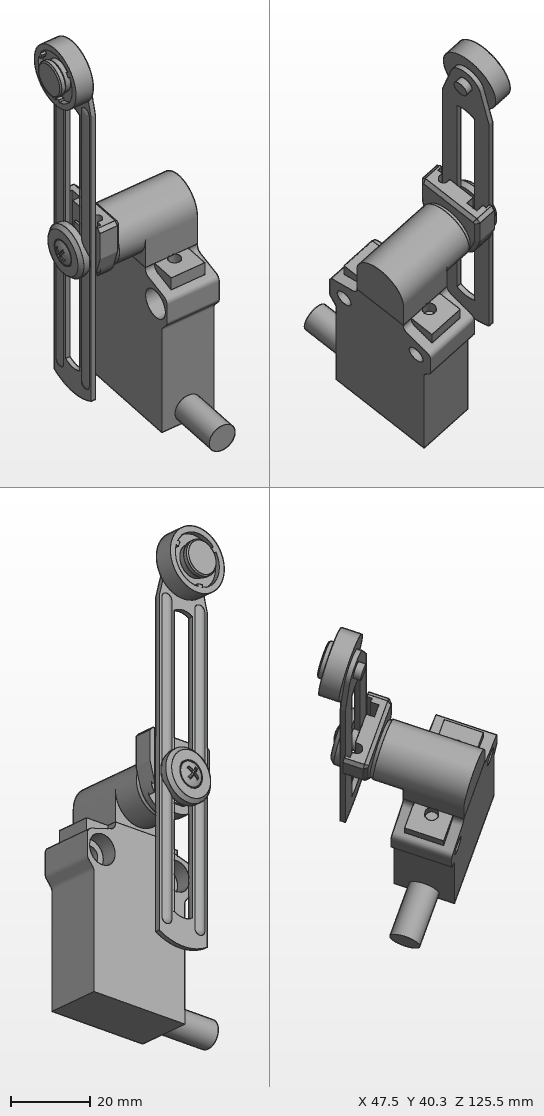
import cadquery as cq
import math


HOUSING_WIDTH = 30.4
HOUSING_DEPTH = 16.2
HOUSING_HEIGHT = 49.1
EAR_SPAN = 34.9
EAR_BOTTOM_INNER_Z = 33.9
EAR_BOTTOM_OUTER_Z = 36.6
EAR_TOP_OUTER_Z = 44.5
EAR_TOP_INNER_Z = 47.2
EAR_BLEND_RADIUS = 1.9
PAD_DEPTH = 10.4
PAD_HOLE_DIAMETER = 3.5
PAD_HOLE_X = 9.4
PAD_HOLE_DEPTH = 3.8
MOUNT_HOLE_X = 12.4
MOUNT_HOLE_Z = 40.2
MOUNT_HOLE_DIAMETER = 4.8
COUNTERBORE_DIAMETER = 8.5
COUNTERBORE_DEPTH = 4.5

CABLE_DIAMETER = 8.0
CABLE_AXIS_Z = 4.3
CABLE_END_X = 30.0

HEAD_RADIUS = 8.0
PIVOT_Z = 58.0
HEAD_FRONT = 25.2
HEAD_CHAMFER_LENGTH = 1.0
HEAD_CHAMFER_DROP = 0.5

BASE_WIDTH = 19.8
BASE_TOP_Z = 69.8
BASE_SIDE_BOTTOM_Z = 60.2
BASE_BOTTOM_RADIUS = 8.9
BASE_ARC_START_Z = 55.7
BASE_CHAMFER = 1.0
ARM_BACK = 31.6
BASE_FLOOR = 30.2
BASE_RECESS_WIDTH = 16.6
BASE_GROOVE_BOTTOM = 28.0
SQUARE_GROOVE_WIDTH = 3.4
ROUND_GROOVE_WIDTH = 2.6
RIB_WIDTH = 4.8
RIB_HALF_LENGTH = 6.4
RIB_HEIGHT = 0.6

ARM_WIDTH = 16.1
ARM_THICKNESS = 1.4
ARM_BOTTOM_Z = 11.3
ARM_BOTTOM_CORNER_Z = 13.4
ARM_SHOULDER_Z = 106.0
ARM_TIP_RADIUS = 5.1
SLOT_WIDTH = 6.0
SLOT_BOTTOM_Z = 19.2
SLOT_TOP_Z = 104.3
SLOT_END_RISE = 0.9
RAIL_X = 5.5
RAIL_WIDTH = 3.4
RAIL_HEIGHT = 0.6
RAIL_BOTTOM_Z = 17.7
RAIL_TOP_Z = 105.7

WASHER_RADIUS = 7.5
WASHER_FRONT = 36.0
WASHER_CHAMFER_LENGTH = 1.1
WASHER_CHAMFER_DROP = 1.0
SCREW_SHANK_DIAMETER = 5.3
SCREW_TIP = 27.6
SCREW_HEAD_RADIUS = 3.5
SCREW_DOME_HEIGHT = 1.1
SCREW_RECESS_RADIUS = 3.8
SCREW_RECESS_DEPTH = 0.6
CROSS_LENGTH = 4.0
CROSS_WIDTH = 0.8
CROSS_DEPTH = 1.0
CROSS_ANGLE = 55

ROLLER_DIAMETER = 18.1
ROLLER_WIDTH = 5.4
ROLLER_RECESS_DIAMETER = 14.7
ROLLER_RECESS_DEPTH = 1.5
NUB_COUNT = 3
NUB_ANGLE = 38
NUB_WIDTH = 1.5
NUB_HEIGHT = 0.8
PIN_DIAMETER = 4.4
PIN_BACK = 29.6
PIN_CAP_DIAMETER = 9.9
PIN_FRONT = 40.3
PIN_CAP_CHAMFER = 0.4
PIN_HUB_DIAMETER = PIN_CAP_DIAMETER - 2 * PIN_CAP_CHAMFER

OVERALL_HEIGHT = 125.5
ROLLER_Z = OVERALL_HEIGHT - ROLLER_DIAMETER / 2
ARM_FRONT = ARM_BACK + ARM_THICKNESS
ROLLER_FRONT = ARM_FRONT + ROLLER_WIDTH
SCREW_SEAT = WASHER_FRONT - SCREW_RECESS_DEPTH
MID_DEPTH = HOUSING_DEPTH / 2


def plane_at(depth):
    """XZ sketch plane at a depth; extrusions from it run forward, toward -Y."""
    return cq.Workplane("XZ").workplane(offset=depth)


def disc(x, z, diameter, back, front):
    """Cylinder along Y between two depths."""
    return plane_at(back).center(x, z).circle(diameter / 2).extrude(front - back)


def slab(x_centre, width, z_bottom, z_top, back, front):
    """Rectangular block between two heights and two depths."""
    sketch = plane_at(back).center(x_centre, (z_bottom + z_top) / 2)
    return sketch.rect(width, z_top - z_bottom).extrude(front - back)


def make_housing():
    half_outline = [
        (0, 0),
        (HOUSING_WIDTH / 2, 0),
        (HOUSING_WIDTH / 2, EAR_BOTTOM_INNER_Z),
        (EAR_SPAN / 2, EAR_BOTTOM_OUTER_Z),
        (EAR_SPAN / 2, EAR_TOP_OUTER_Z),
        (HEAD_RADIUS, EAR_TOP_INNER_Z),
        (HEAD_RADIUS, HOUSING_HEIGHT),
        (0, HOUSING_HEIGHT),
    ]
    half = plane_at(0).polyline(half_outline).close().extrude(HOUSING_DEPTH)
    ear_corners = half.edges("|Y").filter(lambda edge: 0 < edge.Center().z < HOUSING_HEIGHT)
    half = ear_corners.fillet(EAR_BLEND_RADIUS)
    body = half.union(half.mirror("YZ"))

    pad_back = MID_DEPTH - PAD_DEPTH / 2
    pads = slab(0, HOUSING_WIDTH, EAR_BOTTOM_OUTER_Z, HOUSING_HEIGHT, pad_back, pad_back + PAD_DEPTH)
    body = body.union(pads)

    for side in (-1, 1):
        x = side * MOUNT_HOLE_X
        through_hole = disc(x, MOUNT_HOLE_Z, MOUNT_HOLE_DIAMETER, 0, HOUSING_DEPTH)
        counterbore = disc(
            x, MOUNT_HOLE_Z, COUNTERBORE_DIAMETER, HOUSING_DEPTH - COUNTERBORE_DEPTH, HOUSING_DEPTH
        )
        pad_hole = (
            cq.Workplane("XY", origin=(side * PAD_HOLE_X, -MID_DEPTH, HOUSING_HEIGHT))
            .circle(PAD_HOLE_DIAMETER / 2)
            .extrude(-PAD_HOLE_DEPTH)
        )
        body = body.cut(through_hole).cut(counterbore).cut(pad_hole)
    return body


def make_cable():
    start_x = HOUSING_WIDTH / 2
    sketch = cq.Workplane("YZ", origin=(start_x, -MID_DEPTH, CABLE_AXIS_Z))
    return sketch.circle(CABLE_DIAMETER / 2).extrude(CABLE_END_X - start_x)


def make_head():
    barrel = disc(0, PIVOT_Z, 2 * HEAD_RADIUS, 0, HEAD_FRONT)
    barrel = barrel.faces("<Y").chamfer(HEAD_CHAMFER_LENGTH, HEAD_CHAMFER_DROP)
    neck = slab(0, 2 * HEAD_RADIUS, HOUSING_HEIGHT, PIVOT_Z, 0, HOUSING_DEPTH)
    return barrel.union(neck)


def make_lever_base():
    half_width = BASE_WIDTH / 2
    arc_start_x = math.sqrt(BASE_BOTTOM_RADIUS**2 - (PIVOT_Z - BASE_ARC_START_Z) ** 2)
    body = (
        plane_at(HEAD_FRONT)
        .moveTo(-arc_start_x, BASE_ARC_START_Z)
        .threePointArc((0, PIVOT_Z - BASE_BOTTOM_RADIUS), (arc_start_x, BASE_ARC_START_Z))
        .lineTo(half_width, BASE_SIDE_BOTTOM_Z)
        .lineTo(half_width, BASE_TOP_Z - BASE_CHAMFER)
        .lineTo(half_width - BASE_CHAMFER, BASE_TOP_Z)
        .lineTo(BASE_CHAMFER - half_width, BASE_TOP_Z)
        .lineTo(-half_width, BASE_TOP_Z - BASE_CHAMFER)
        .lineTo(-half_width, BASE_SIDE_BOTTOM_Z)
        .close()
        .extrude(ARM_BACK - HEAD_FRONT)
        .faces(">Y")
        .chamfer(BASE_CHAMFER)
    )

    bottom_z = PIVOT_Z - BASE_BOTTOM_RADIUS
    recess = slab(0, BASE_RECESS_WIDTH, bottom_z, BASE_TOP_Z, BASE_FLOOR, ARM_BACK)
    square_groove = slab(
        -RAIL_X, SQUARE_GROOVE_WIDTH, bottom_z, BASE_TOP_Z, BASE_GROOVE_BOTTOM, BASE_FLOOR
    )
    groove_radius = ROUND_GROOVE_WIDTH / 2
    groove_axis = BASE_GROOVE_BOTTOM + groove_radius
    round_groove = slab(RAIL_X, ROUND_GROOVE_WIDTH, bottom_z, BASE_TOP_Z, groove_axis, BASE_FLOOR)
    groove_end = (
        cq.Workplane("XY", origin=(RAIL_X, -groove_axis, bottom_z))
        .circle(groove_radius)
        .extrude(BASE_TOP_Z - bottom_z)
    )
    body = body.cut(recess).cut(square_groove).cut(round_groove).cut(groove_end)

    rib_bottom_z = PIVOT_Z - RIB_HALF_LENGTH
    rib_top_z = PIVOT_Z + RIB_HALF_LENGTH
    rib = slab(0, RIB_WIDTH, rib_bottom_z, rib_top_z, BASE_FLOOR, BASE_FLOOR + RIB_HEIGHT)
    screw_hole = disc(0, PIVOT_Z, SCREW_SHANK_DIAMETER, SCREW_TIP, ARM_BACK)
    return body.union(rib).cut(screw_hole)


def make_rail(x):
    """Raised bead of circular-segment section with domed ends."""
    half_width = RAIL_WIDTH / 2
    length = RAIL_TOP_Z - RAIL_BOTTOM_Z
    rail = (
        cq.Workplane("XY", origin=(x, -ARM_FRONT, RAIL_BOTTOM_Z))
        .moveTo(-half_width, 0)
        .threePointArc((0, -RAIL_HEIGHT), (half_width, 0))
        .close()
        .extrude(length)
    )
    bead_radius = (half_width**2 + RAIL_HEIGHT**2) / (2 * RAIL_HEIGHT)
    arc_mid_x = half_width / 2
    arc_mid_y = bead_radius - RAIL_HEIGHT - math.sqrt(bead_radius**2 - arc_mid_x**2)
    for end_z in (RAIL_BOTTOM_Z, RAIL_TOP_Z):
        dome = (
            cq.Workplane("XY", origin=(x, -ARM_FRONT, end_z))
            .lineTo(half_width, 0)
            .threePointArc((arc_mid_x, arc_mid_y), (0, -RAIL_HEIGHT))
            .close()
            .revolve(360, (0, 0), (0, 1))
        )
        rail = rail.union(dome)
    return rail


def make_arm():
    half_width = ARM_WIDTH / 2
    shoulder_drop = ROLLER_Z - ARM_SHOULDER_Z
    shoulder_angle = math.atan2(-shoulder_drop, half_width)
    tangent_angle = shoulder_angle + math.acos(ARM_TIP_RADIUS / math.hypot(half_width, shoulder_drop))
    tip_x = ARM_TIP_RADIUS * math.cos(tangent_angle)
    tip_z = ROLLER_Z + ARM_TIP_RADIUS * math.sin(tangent_angle)
    plate = (
        plane_at(ARM_BACK)
        .moveTo(-half_width, ARM_BOTTOM_CORNER_Z)
        .threePointArc((0, ARM_BOTTOM_Z), (half_width, ARM_BOTTOM_CORNER_Z))
        .lineTo(half_width, ARM_SHOULDER_Z)
        .lineTo(tip_x, tip_z)
        .threePointArc((0, ROLLER_Z + ARM_TIP_RADIUS), (-tip_x, tip_z))
        .lineTo(-half_width, ARM_SHOULDER_Z)
        .close()
        .extrude(ARM_THICKNESS)
    )

    slot_side = SLOT_WIDTH / 2
    lower_corner_z = SLOT_BOTTOM_Z + SLOT_END_RISE
    upper_corner_z = SLOT_TOP_Z - SLOT_END_RISE
    slot = (
        plane_at(ARM_BACK)
        .moveTo(-slot_side, lower_corner_z)
        .threePointArc((0, SLOT_BOTTOM_Z), (slot_side, lower_corner_z))
        .lineTo(slot_side, upper_corner_z)
        .threePointArc((0, SLOT_TOP_Z), (-slot_side, upper_corner_z))
        .close()
        .extrude(ARM_THICKNESS)
    )
    arm = plate.cut(slot).cut(disc(0, ROLLER_Z, PIN_DIAMETER, ARM_BACK, ARM_FRONT))
    for side in (-1, 1):
        arm = arm.union(make_rail(side * RAIL_X))
    return arm


def make_clamp_washer(arm):
    washer = disc(0, PIVOT_Z, 2 * WASHER_RADIUS, ARM_FRONT, WASHER_FRONT)
    washer = washer.faces("<Y").chamfer(WASHER_CHAMFER_LENGTH, WASHER_CHAMFER_DROP)
    washer = washer.cut(disc(0, PIVOT_Z, SCREW_SHANK_DIAMETER, ARM_FRONT, WASHER_FRONT))
    washer = washer.cut(disc(0, PIVOT_Z, 2 * SCREW_RECESS_RADIUS, SCREW_SEAT, WASHER_FRONT))
    return washer.cut(arm)


def make_screw():
    shank = disc(0, PIVOT_Z, SCREW_SHANK_DIAMETER, SCREW_TIP, SCREW_SEAT)
    crown = WASHER_FRONT + SCREW_DOME_HEIGHT
    dome_radius = (SCREW_HEAD_RADIUS**2 + SCREW_DOME_HEIGHT**2) / (2 * SCREW_DOME_HEIGHT)
    ball = cq.Workplane("XY", origin=(0, dome_radius - crown, PIVOT_Z)).sphere(dome_radius)
    head = disc(0, PIVOT_Z, 2 * SCREW_HEAD_RADIUS, SCREW_SEAT, crown).intersect(ball)
    screw = shank.union(head)
    for angle in (CROSS_ANGLE, CROSS_ANGLE + 90):
        arm_of_cross = (
            plane_at(crown - CROSS_DEPTH)
            .center(0, PIVOT_Z)
            .transformed(rotate=(0, 0, angle))
            .rect(CROSS_LENGTH, CROSS_WIDTH)
            .extrude(2 * CROSS_DEPTH)
        )
        screw = screw.cut(arm_of_cross)
    return screw


def make_roller():
    floor = ROLLER_FRONT - ROLLER_RECESS_DEPTH
    roller = disc(0, ROLLER_Z, ROLLER_DIAMETER, ARM_FRONT, ROLLER_FRONT)
    recess = disc(0, ROLLER_Z, ROLLER_RECESS_DIAMETER, floor, ROLLER_FRONT)
    recess_radius = ROLLER_RECESS_DIAMETER / 2
    for index in range(NUB_COUNT):
        nub = (
            plane_at(floor)
            .center(0, ROLLER_Z)
            .transformed(rotate=(0, 0, NUB_ANGLE + index * 360 / NUB_COUNT))
            .center(recess_radius, 0)
            .rect(2 * NUB_HEIGHT, NUB_WIDTH)
            .extrude(ROLLER_RECESS_DEPTH)
        )
        recess = recess.cut(nub)
    bore = disc(0, ROLLER_Z, PIN_DIAMETER, ARM_FRONT, floor)
    return roller.cut(recess).cut(bore)


def make_roller_pin():
    hub_back = ROLLER_FRONT - ROLLER_RECESS_DEPTH
    shank = disc(0, ROLLER_Z, PIN_DIAMETER, PIN_BACK, hub_back)
    hub = disc(0, ROLLER_Z, PIN_HUB_DIAMETER, hub_back, ROLLER_FRONT)
    cap = disc(0, ROLLER_Z, PIN_CAP_DIAMETER, ROLLER_FRONT, PIN_FRONT)
    cap = cap.faces("|Y").chamfer(PIN_CAP_CHAMFER)
    return shank.union(hub).union(cap)


housing = make_housing()
cable = make_cable()
head = make_head()
lever_base = make_lever_base()
arm = make_arm()
clamp_washer = make_clamp_washer(arm)
screw = make_screw()
roller = make_roller()
roller_pin = make_roller_pin()

result = cq.Compound.makeCompound([
    housing.solids().val(),
    cable.solids().val(),
    head.solids().val(),
    lever_base.solids().val(),
    arm.solids().val(),
    clamp_washer.solids().val(),
    screw.solids().val(),
    roller.solids().val(),
    roller_pin.solids().val(),
])